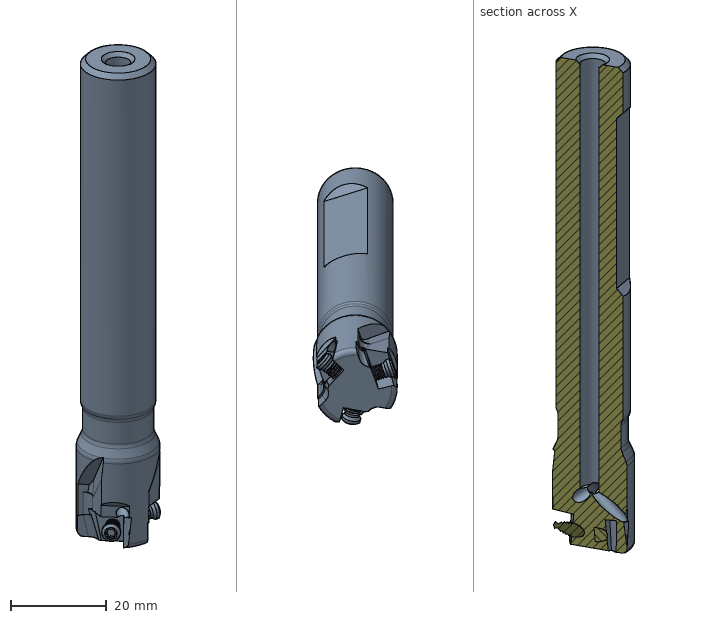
import cadquery as cq
import math

TOTAL_LENGTH = 109.9
SHANK_RADIUS = 7.9
NECK_RADIUS = 7.5
HEAD_RADIUS = 8.8
TOP_CHAMFER = 1.1
NOSE_FILLET = 1.2

SHANK_END_Z = 30.7
NECK_TOP_Z = 29.0
NECK_BOTTOM_Z = 24.0
HEAD_TOP_Z = 20.0
CONE_BLEND = 1.0
CONE_BLEND_RISE = 0.2

FLAT_Y = 6.3
FLAT_BOTTOM_Z = 59.8
FLAT_TOP_Z = 98.3

BORE_RADIUS = 2.6
BORE_MOUTH_RADIUS = 3.5
BORE_BOTTOM_Z = 12.6
COOLANT_RADIUS = 1.3
COOLANT_START_Z = 13.2
COOLANT_EXIT_X = 1.6
COOLANT_EXIT_Z = 8.0
COOLANT_OVERRUN = 2.2

TOOTH_COUNT = 3
FIRST_TOOTH_ANGLE = -90.0
CLEAR = 13.2

GULLET_FLOOR_DEPTH = 3.3
GULLET_CORNER_X = -5.7
GULLET_WALL_ANGLE = 30.0
GULLET_FILLET = 2.4
GULLET_RUNOUT_Z = 12.3
GULLET_RUNOUT_ANGLE = 29.0
GULLET_BEND_TURN = -8.0
GULLET_BEND_START = (5.0, 10.4)
GULLET_BEND_END = (8.4, 15.9)
LOWER_GULLET_DEPTH = 3.0
LOWER_GULLET_TOP_Z = 5.5
LOWER_GULLET_TILT = -12.0

RELIEF_FLAT_DEPTH = 8.1
RELIEF_FLAT_RIGHT_X = 3.1
RELIEF_FLAT_TOP_Z = 9.9
RELIEF_FLAT_SLOPE = 1.7

SEAT_TILT = 5.0
SEAT_DEPTH = 4.3
SEAT_Z = 3.4
SEAT_RIGHT_X = 1.5
SEAT_TOP = 3.5
SEAT_WALL_HEIGHT = 3.3
SEAT_WALL_LEAN = 0.2
SEAT_LEDGE_ANGLE = 65.0

SEAT_BEVEL_WIDTH = 0.7
SEAT_BEVEL_ANGLE = 20.0

SCREW_X = -0.8
SCREW_RADIUS = 1.5
SCREW_EMBED = 2.4
SCREW_HEAD_RADIUS = 2.0
SCREW_CROWN_RADIUS = 1.3
SCREW_HEIGHT = 4.5
SCREW_CROWN = 0.4
SCREW_RIM = 0.7
SCREW_CONE = 0.7
THREAD_PITCH = 0.5
THREAD_DEPTH = 0.2
THREAD_COUNT = 4
SOCKET_RADIUS = 0.9
SOCKET_LOBE_RADIUS = 0.27
SOCKET_DEPTH = 0.9
SOCKET_LOBES = 6


def turned_blank():
    """Shank, neck, cone and head as one turned solid."""
    shoulder_mid = ((SHANK_RADIUS + NECK_RADIUS) / 2, (SHANK_END_Z + NECK_TOP_Z) / 2)
    cone_top = (NECK_RADIUS + CONE_BLEND_RISE, NECK_BOTTOM_Z - CONE_BLEND)
    cone_bottom = (HEAD_RADIUS - CONE_BLEND_RISE, HEAD_TOP_Z + CONE_BLEND)
    profile = (
        cq.Workplane("XZ")
        .moveTo(0, 0)
        .lineTo(HEAD_RADIUS - NOSE_FILLET, 0)
        .tangentArcPoint((HEAD_RADIUS, NOSE_FILLET), relative=False)
        .lineTo(HEAD_RADIUS, HEAD_TOP_Z)
        .tangentArcPoint(cone_bottom, relative=False)
        .lineTo(*cone_top)
        .tangentArcPoint((NECK_RADIUS, NECK_BOTTOM_Z), relative=False)
        .lineTo(NECK_RADIUS, NECK_TOP_Z)
        .tangentArcPoint(shoulder_mid, relative=False)
        .tangentArcPoint((SHANK_RADIUS, SHANK_END_Z), relative=False)
        .lineTo(SHANK_RADIUS, TOTAL_LENGTH - TOP_CHAMFER)
        .lineTo(SHANK_RADIUS - TOP_CHAMFER, TOTAL_LENGTH)
        .lineTo(0, TOTAL_LENGTH)
        .close()
    )
    return profile.revolve(360, (0, 0, 0), (0, 1, 0))


def clamping_flat():
    """Flat with 45 degree end walls, cut across the +Y side."""
    reach = HEAD_RADIUS - FLAT_Y
    return (
        cq.Workplane("YZ")
        .polyline([
            (FLAT_Y, FLAT_BOTTOM_Z),
            (HEAD_RADIUS, FLAT_BOTTOM_Z - reach),
            (HEAD_RADIUS, FLAT_TOP_Z + reach),
            (FLAT_Y, FLAT_TOP_Z),
        ])
        .close()
        .extrude(HEAD_RADIUS, both=True)
    )


def coolant_bore():
    """Central bore with a 45 degree mouth."""
    mouth = BORE_MOUTH_RADIUS - BORE_RADIUS
    return (
        cq.Workplane("XZ")
        .polyline([
            (0, BORE_BOTTOM_Z),
            (BORE_RADIUS, BORE_BOTTOM_Z),
            (BORE_RADIUS, TOTAL_LENGTH - mouth),
            (BORE_MOUTH_RADIUS, TOTAL_LENGTH),
            (0, TOTAL_LENGTH),
        ])
        .close()
        .revolve(360, (0, 0, 0), (0, 1, 0))
    )


def coolant_outlet():
    """Slanted hole from the bottom of the bore to the flat above the seat."""
    start = cq.Vector(0, 0, COOLANT_START_Z)
    path = cq.Vector(COOLANT_EXIT_X, -RELIEF_FLAT_DEPTH, COOLANT_EXIT_Z) - start
    length = path.Length + COOLANT_OVERRUN
    return cq.Workplane(cq.Solid.makeCylinder(COOLANT_RADIUS, length, start, path))


def gullet_wall_x(depth, floor_depth):
    """Sideways position of the gullet wall at a distance from the tool axis."""
    return GULLET_CORNER_X + (depth - floor_depth) * math.tan(math.radians(GULLET_WALL_ANGLE))


def gullet_wall_point(depth, height):
    return (gullet_wall_x(depth, GULLET_FLOOR_DEPTH), -depth, height)


def gullet_section(floor_depth, bottom_z, top_z):
    """Straight length of gullet: floor, filleted corner and leaning wall."""
    corner_line = cq.selectors.NearestToPointSelector(
        (GULLET_CORNER_X, -floor_depth, (bottom_z + top_z) / 2))
    return (
        cq.Workplane("XY", origin=(0, 0, bottom_z))
        .polyline([
            (-CLEAR, -floor_depth),
            (GULLET_CORNER_X, -floor_depth),
            (gullet_wall_x(CLEAR, floor_depth), -CLEAR),
            (-CLEAR, -CLEAR),
        ])
        .close()
        .extrude(top_z - bottom_z)
        .edges(corner_line)
        .fillet(GULLET_FILLET)
    )


def gullet():
    """Chip gullet with a bent wall, running out upwards through the head."""
    runout_rise = (CLEAR - GULLET_FLOOR_DEPTH) / math.tan(math.radians(GULLET_RUNOUT_ANGLE))
    runout = (
        cq.Workplane("YZ")
        .polyline([
            (-GULLET_FLOOR_DEPTH, -CLEAR),
            (-GULLET_FLOOR_DEPTH, GULLET_RUNOUT_Z),
            (-CLEAR, GULLET_RUNOUT_Z + runout_rise),
            (-CLEAR, -CLEAR),
        ])
        .close()
        .extrude(2 * CLEAR, both=True)
    )
    top_z = GULLET_RUNOUT_Z + runout_rise
    bend_start = gullet_wall_point(*GULLET_BEND_START)
    bend_end = gullet_wall_point(*GULLET_BEND_END)
    straight_part = gullet_section(GULLET_FLOOR_DEPTH, -CLEAR, top_z)
    bent_part = gullet_section(GULLET_FLOOR_DEPTH, bend_start[2], top_z).rotate(
        bend_start, bend_end, GULLET_BEND_TURN)
    return straight_part.union(bent_part).intersect(runout)


def lean_with_seat_side(body, pivot_z):
    """Lean a body sideways about the gullet corner at a height."""
    pivot = cq.Vector(GULLET_CORNER_X, 0, pivot_z)
    return body.rotate(
        pivot.toTuple(), (pivot + cq.Vector(0, 1.1, 0)).toTuple(), LOWER_GULLET_TILT)


def lower_gullet():
    """Lower end of the gullet, leaning with the side of the seat."""
    return lean_with_seat_side(
        gullet_section(LOWER_GULLET_DEPTH, -CLEAR, LOWER_GULLET_TOP_Z), LOWER_GULLET_TOP_Z)


def relief_flat():
    """Shallow flat above the seat, with a sloping upper end."""
    end_rise = (CLEAR - RELIEF_FLAT_DEPTH) * RELIEF_FLAT_SLOPE
    return (
        cq.Workplane("YZ", origin=(RELIEF_FLAT_RIGHT_X, 0, 0))
        .polyline([
            (-RELIEF_FLAT_DEPTH, SEAT_Z),
            (-RELIEF_FLAT_DEPTH, RELIEF_FLAT_TOP_Z),
            (-CLEAR, RELIEF_FLAT_TOP_Z + end_rise),
            (-CLEAR, SEAT_Z),
        ])
        .close()
        .extrude(-HEAD_RADIUS)
    )


def tilt_to_seat(body):
    """Move a body from the upright seat frame (seat on Y = 0, facing -Y) to the leaning seat."""
    return body.rotate((0, 0, 0), (1, 0, 0), -SEAT_TILT).translate((0, -SEAT_DEPTH, SEAT_Z))


def seat_pocket():
    """Insert pocket: seat, upper wall, steep side wall and ledge."""
    wall_x = SEAT_RIGHT_X + SEAT_WALL_LEAN
    ledge_x = wall_x + (CLEAR - SEAT_WALL_HEIGHT) * math.tan(math.radians(SEAT_LEDGE_ANGLE))
    pocket = (
        cq.Workplane("XY", origin=(0, 0, -CLEAR))
        .polyline([
            (-CLEAR, 0),
            (SEAT_RIGHT_X, 0),
            (wall_x, -SEAT_WALL_HEIGHT),
            (ledge_x, -CLEAR),
            (-CLEAR, -CLEAR),
        ])
        .close()
        .extrude(CLEAR + SEAT_TOP)
    )
    return tilt_to_seat(pocket)


def seat_bevel():
    """Bevel along the side of the seat that borders the lower gullet."""
    inner_x = gullet_wall_x(SEAT_DEPTH, LOWER_GULLET_DEPTH) + SEAT_BEVEL_WIDTH
    reach = 2 * SEAT_BEVEL_WIDTH
    drop = reach * math.tan(math.radians(SEAT_BEVEL_ANGLE))
    wedge = (
        cq.Workplane("XY", origin=(0, 0, -CLEAR))
        .polyline([(inner_x, 0), (inner_x - reach, drop), (inner_x - reach, 0)])
        .close()
        .extrude(CLEAR + SEAT_TOP)
    )
    return tilt_to_seat(lean_with_seat_side(wedge, LOWER_GULLET_TOP_Z - SEAT_Z))


def screw_hole():
    """Hole in the seat that the screw shank fills."""
    hole = cq.Workplane("XZ", origin=(SCREW_X, 0, 0)).circle(SCREW_RADIUS).extrude(-SCREW_EMBED)
    return tilt_to_seat(hole)


def thread_groove(height):
    """V-shaped ring cut into the screw shank at a height above the seat."""
    half_width = THREAD_PITCH / 2
    return (
        cq.Workplane("XY")
        .polyline([
            (SCREW_RADIUS - THREAD_DEPTH, -height),
            (SCREW_RADIUS, half_width - height),
            (SCREW_RADIUS, -half_width - height),
        ])
        .close()
        .revolve(360, (0, 0, 0), (0, 1, 0))
    )


def insert_screw():
    """Countersunk screw with a lobed socket, standing out of the seat."""
    rim_top = SCREW_HEIGHT - SCREW_CROWN
    rim_bottom = rim_top - SCREW_RIM
    body = (
        cq.Workplane("XY")
        .polyline([
            (0, SCREW_EMBED),
            (SCREW_RADIUS, SCREW_EMBED),
            (SCREW_RADIUS, SCREW_CONE - rim_bottom),
            (SCREW_HEAD_RADIUS, -rim_bottom),
            (SCREW_HEAD_RADIUS, -rim_top),
            (SCREW_CROWN_RADIUS, -SCREW_HEIGHT),
            (0, -SCREW_HEIGHT),
        ])
        .close()
        .revolve(360, (0, 0, 0), (0, 1, 0))
    )
    for i in range(THREAD_COUNT):
        body = body.cut(thread_groove((i + 0.5) * THREAD_PITCH))
    top = cq.Workplane("XZ", origin=(0, -SCREW_HEIGHT, 0))
    socket = top.circle(SOCKET_RADIUS).extrude(-SOCKET_DEPTH)
    lobes = top.polarArray(SOCKET_RADIUS, 0, 360, SOCKET_LOBES).circle(SOCKET_LOBE_RADIUS)
    body = body.cut(socket.union(lobes.extrude(-SOCKET_DEPTH)))
    return tilt_to_seat(body.translate((SCREW_X, 0, 0)))


def turn_about_axis(body, angle):
    return body.rotate((0, 0, 0), (0, 0, 1), angle)


tooth_angles = [FIRST_TOOTH_ANGLE + i * 360 / TOOTH_COUNT for i in range(TOOTH_COUNT)]
tooth_cutters = [
    gullet(),
    lower_gullet(),
    relief_flat(),
    seat_pocket(),
    seat_bevel(),
    screw_hole(),
    coolant_outlet(),
]

holder = turned_blank().cut(clamping_flat()).cut(coolant_bore())
screws = []
for angle in tooth_angles:
    for cutter in tooth_cutters:
        holder = holder.cut(turn_about_axis(cutter, angle))
    screws.append(turn_about_axis(insert_screw(), angle).val())

result = cq.Compound.makeCompound([holder.val(), *screws])